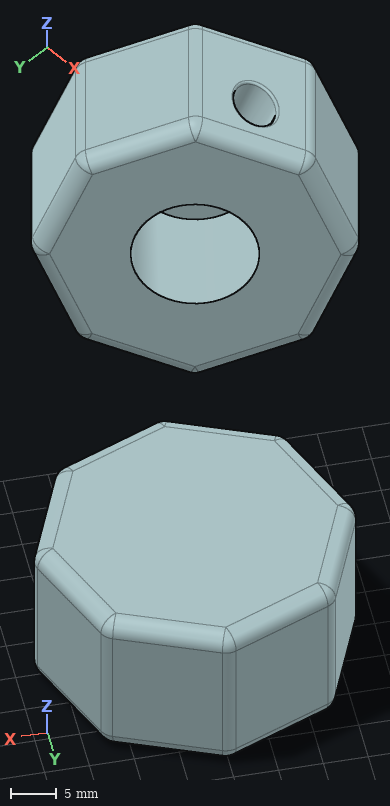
import cadquery as cq
import math

side_count = 8
corner_span = 35.75
height = 19.0
edge_radius = 2.0
half_angle = math.pi / side_count
sharp_radius = corner_span / 2 + edge_radius * (1 / math.cos(half_angle) - 1)
apothem = sharp_radius * math.cos(half_angle)

side_hole_width = 5.0
side_hole_height = 7.0
side_hole_z = 7.2
side_hole_offset = 0.18
side_hole_angle = -112.5
rim_radius = 0.3

bore_radius = 7.0
bore_depth = 2 * side_hole_z


def make_body():
    prism = cq.Workplane("XY").polygon(side_count, 2 * sharp_radius).extrude(height)
    return prism.edges().fillet(edge_radius)


def make_bore():
    return cq.Workplane("XY").circle(bore_radius).extrude(bore_depth)


def cut_side_hole(body):
    angle = math.radians(side_hole_angle)
    outward = cq.Vector(math.cos(angle), math.sin(angle), 0)
    along_side = cq.Vector(-math.sin(angle), math.cos(angle), 0)
    hole_centre = outward * apothem + along_side * side_hole_offset + cq.Vector(0, 0, side_hole_z)
    side_plane = cq.Plane(origin=hole_centre, xDir=along_side, normal=outward)
    hole = (
        cq.Workplane(side_plane)
        .ellipse(side_hole_width / 2, side_hole_height / 2)
        .extrude(-apothem)
    )
    drilled = body.cut(hole)
    rim = drilled.edges(cq.selectors.NearestToPointSelector(hole_centre.toTuple()))
    return rim.fillet(rim_radius)


result = cut_side_hole(make_body()).cut(make_bore())